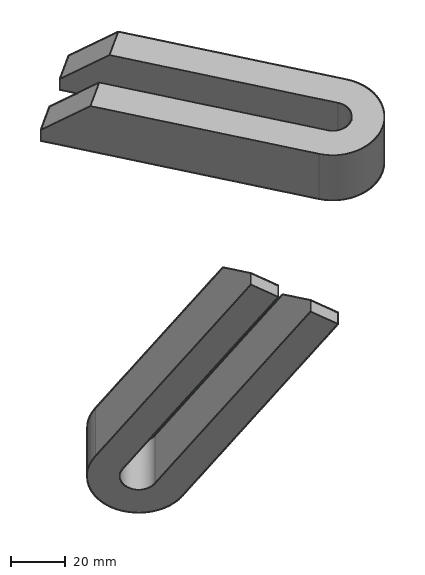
import cadquery as cq

length = 125.0
width = 38.0
height = 25.0
slot_width = 14.0
tip_height = 6.0

outer_radius = width / 2
slot_radius = slot_width / 2
bend_x = length - outer_radius
bevel = height - tip_height


def rounded_bar(radius):
    """Full-height bar from x = 0 to the bend centre, ending in a half round."""
    return (
        cq.Workplane("XY")
        .moveTo(0, -radius)
        .lineTo(bend_x, -radius)
        .threePointArc((bend_x + radius, 0), (bend_x, radius))
        .lineTo(0, radius)
        .close()
        .extrude(height)
    )


def tip_bevel():
    """Triangular wedge removed from the top of both leg tips."""
    return (
        cq.Workplane("XZ")
        .polyline([(0, tip_height), (bevel, height), (0, height)])
        .close()
        .extrude(outer_radius, both=True)
    )


result = rounded_bar(outer_radius).cut(rounded_bar(slot_radius)).cut(tip_bevel())